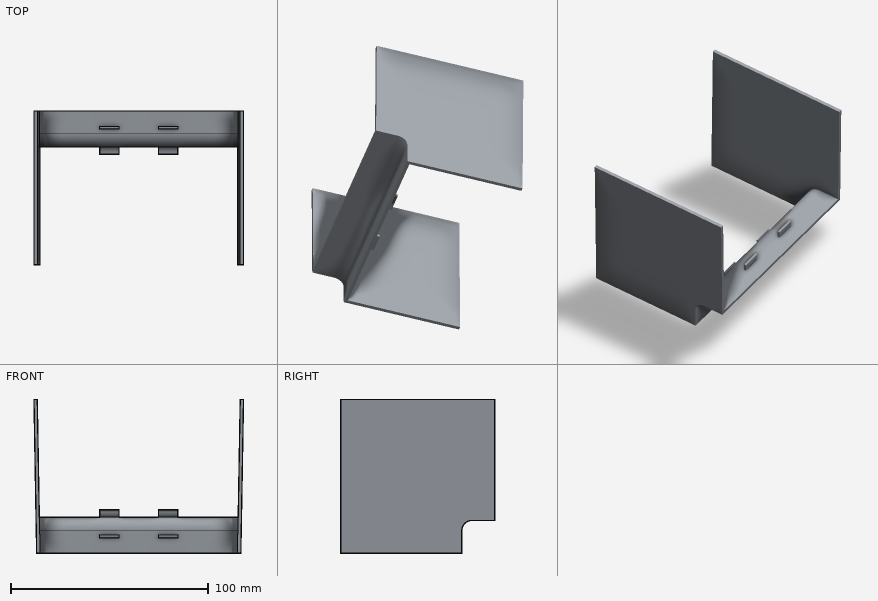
import cadquery as cq
import math

length = 106.3
depth = 78.2
height = 78.2

wall_lean = 1.0
wall_thickness = 1.8
lean_offset = height * math.tan(math.radians(wall_lean))

notch_size = 16.7
web_thickness = 1.7
bend_radius = 5.1
web_size = notch_size + web_thickness

tab_width = 10.0
tab_thickness = 1.3
tab_projection = 3.8
tab_spacing = 29.8
tab_offset = 8.0

rear = depth / 2
half_length = length / 2


def corner_block(size, radius):
    """Full-length block in the rear lower corner, with its inner edge rounded."""
    block = cq.Workplane("XY").box(length, size, size, centered=(True, False, False))
    return block.translate((0, rear - size, 0)).edges("|X and <Y and >Z").fillet(radius)


def side_wall(side):
    """Leaning wall; side is -1 for the -X wall and 1 for the +X wall."""
    foot = half_length - lean_offset
    corners = [
        (side * foot, 0),
        (side * half_length, height),
        (side * (half_length - wall_thickness), height),
        (side * (foot - wall_thickness), 0),
    ]
    return cq.Workplane("XZ").polyline(corners).close().extrude(depth / 2, both=True)


def space_between_walls():
    """Block bounded by the middle planes of the two leaning walls."""
    top = half_length - wall_thickness / 2
    foot = top - lean_offset
    corners = [(-foot, 0), (foot, 0), (top, height), (-top, height)]
    return cq.Workplane("XZ").polyline(corners).close().extrude(depth / 2, both=True)


def tab_profile(plane, near_face):
    """Round-tipped tab outline: plane x runs from the leg's free edge, plane y the way the tab points."""
    root = notch_size + web_thickness / 2
    tip = web_size + tab_projection
    shoulder = tip - tab_thickness / 2
    far_face = near_face + tab_thickness
    middle = near_face + tab_thickness / 2
    return (
        plane.moveTo(near_face, root)
        .lineTo(near_face, shoulder)
        .threePointArc((middle, tip), (far_face, shoulder))
        .lineTo(far_face, root)
        .close()
    )


def tab_pair_at(x):
    """One tab on the upper leg and one on the front leg of the web."""
    origin = (x, rear, 0)
    upper_plane = cq.Workplane(cq.Plane(origin, xDir=(0, -1, 0), normal=(-1, 0, 0)))
    front_plane = cq.Workplane(cq.Plane(origin, xDir=(0, 0, 1), normal=(1, 0, 0)))
    upper = tab_profile(upper_plane, tab_offset).extrude(tab_width / 2, both=True)
    front = tab_profile(front_plane, tab_offset).extrude(tab_width / 2, both=True)
    return upper.union(front)


notch = corner_block(notch_size, bend_radius)
web = corner_block(web_size, bend_radius + web_thickness).intersect(space_between_walls())

result = web
for side in (-1, 1):
    result = result.union(side_wall(side))
result = result.cut(notch)
for side in (-1, 1):
    result = result.union(tab_pair_at(side * tab_spacing / 2))